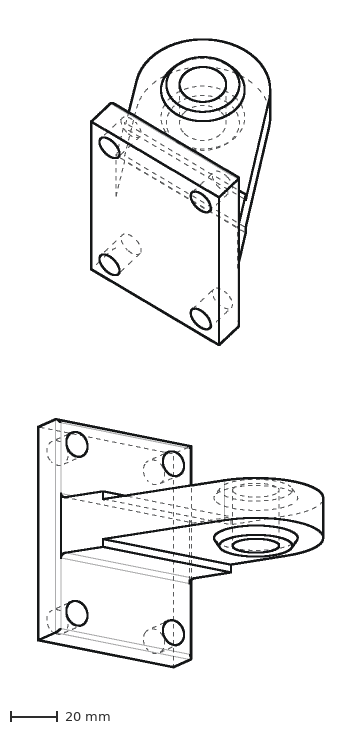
import cadquery as cq
import math

plate_width = 70
plate_height = 96
plate_thickness = 15
plate_edge_radius = 1.7
bolt_diameter = 11
bolt_spacing_x = 50
bolt_spacing_z = 76

eye_x = 5
eye_y = 71
eye_radius = 29
eye_thickness = 18
bore_diameter = 20
root_thickness = 25
root_end_y = 33
root_fillet = 2

boss_base_diameter = 36
boss_top_diameter = 31.4
boss_height = (root_thickness - eye_thickness) / 2

flank_start_x = {-1: plate_edge_radius, 1: plate_width - plate_edge_radius}


def tangent_point(side):
    """Point where the left (-1) or right (+1) flank meets the eye tangentially."""
    start_dx = flank_start_x[side] - eye_x
    start_dy = plate_thickness - eye_y
    start_angle = math.atan2(start_dy, start_dx)
    angle = start_angle + side * math.acos(eye_radius / math.hypot(start_dx, start_dy))
    return (eye_x + eye_radius * math.cos(angle), eye_y + eye_radius * math.sin(angle))


def arm_point(y, side):
    """Point at the given Y on the left (-1) or right (+1) flank of the arm."""
    start_x = flank_start_x[side]
    end_x, end_y = tangent_point(side)
    fraction = (y - plate_thickness) / (end_y - plate_thickness)
    return (start_x + fraction * (end_x - start_x), y)


def make_plate():
    plate = cq.Workplane("XY").box(
        plate_width, plate_thickness, plate_height, centered=(False, False, True)
    )
    return plate.faces(">Y").edges().fillet(plate_edge_radius)


def make_arm():
    eye_crown = (eye_x, eye_y + eye_radius)
    return (
        cq.Workplane("XY")
        .moveTo(*arm_point(plate_thickness, -1))
        .lineTo(*tangent_point(-1))
        .threePointArc(eye_crown, tangent_point(1))
        .lineTo(*arm_point(plate_thickness, 1))
        .close()
        .extrude(eye_thickness / 2, both=True)
    )


def make_arm_slab(end_y, thickness):
    """Slab between the arm flanks, from the plate to end_y, centred on Z = 0."""
    corners = [
        arm_point(plate_thickness, -1),
        arm_point(end_y, -1),
        arm_point(end_y, 1),
        arm_point(plate_thickness, 1),
    ]
    return cq.Workplane("XY").polyline(corners).close().extrude(thickness / 2, both=True)


def make_root_fillet(side):
    """Concave strip between the plate and the lower (-1) or upper (+1) root face."""
    face_z = side * root_thickness / 2
    outer_z = face_z + side * root_fillet
    top_y = plate_thickness + root_fillet
    offset = root_fillet * (1 - math.sqrt(0.5))
    strip = (
        cq.Workplane("YZ")
        .moveTo(plate_thickness, face_z)
        .lineTo(top_y, face_z)
        .threePointArc((plate_thickness + offset, face_z + side * offset), (plate_thickness, outer_z))
        .close()
        .extrude(plate_width)
    )
    return strip.intersect(make_arm_slab(top_y, plate_height))


def make_boss(side):
    """Conical boss below (-1) or above (+1) the eye."""
    return cq.Workplane("XY").add(
        cq.Solid.makeCone(
            boss_base_diameter / 2,
            boss_top_diameter / 2,
            boss_height,
            pnt=cq.Vector(eye_x, eye_y, side * eye_thickness / 2),
            dir=cq.Vector(0, 0, side),
        )
    )


result = make_plate().union(make_arm())
result = result.union(make_arm_slab(root_end_y, root_thickness))
for side in (-1, 1):
    result = result.union(make_root_fillet(side)).union(make_boss(side))

bore = (
    cq.Workplane("XY", origin=(eye_x, eye_y, -root_thickness / 2))
    .circle(bore_diameter / 2)
    .extrude(root_thickness)
)
bolt_holes = (
    cq.Workplane("XZ", origin=(plate_width / 2, 0, 0))
    .rarray(bolt_spacing_x, bolt_spacing_z, 2, 2)
    .circle(bolt_diameter / 2)
    .extrude(-plate_thickness)
)
result = result.cut(bore).cut(bolt_holes)